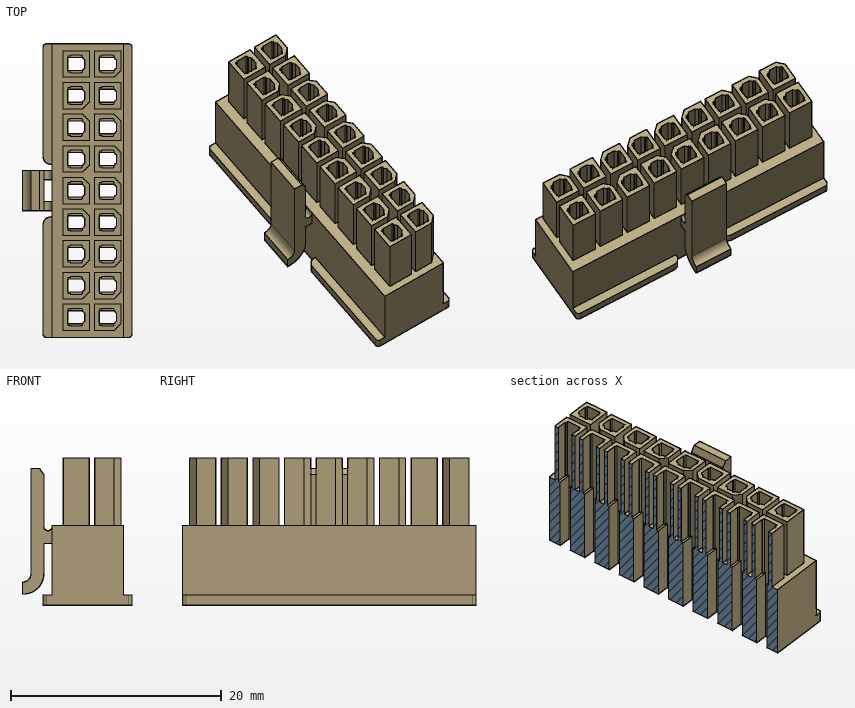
import cadquery as cq
import math


pitch = 3.0
column_count = 2
row_count = 9

body_left = -3.8
body_right = 3.0
body_length = 27.85
body_top = 7.6

rail_left = -4.65
rail_right = 3.8
rail_height = 1.0
rail_corner_radius = 0.33
rail_gap = 4.95
rail_gap_radius = 0.75

tower_width = 2.5
tower_top = 14.0
key_chamfer = 0.65

cavity_width = 1.6
cavity_depth_y = 1.7
slot_depth_y = 1.2
cavity_corner_x = 0.58
cavity_corner_chamfer = 0.23
rear_step_x = -0.54
rear_step = 0.08
small_chamfer = 0.1
cavity_floor = body_top

latch_left = -5.8
latch_right = -4.55
latch_top = 13.0
latch_width = 3.85
latch_tip_run = 0.42
latch_tip_drop = 0.6
hook_end = -6.6
hook_center_z = 3.02
hook_outer_radius = 1.95
bridge_bottom = 5.87
bridge_groove_bottom = 7.1
bridge_window = 2.05

tower_keys = [
    ("square", "front"),
    ("front", "square"),
    ("back", "back"),
    ("front", "back"),
    ("back", "back"),
    ("back", "back"),
    ("front", "front"),
    ("front", "front"),
    ("square", "front"),
]


def box(x_min, x_max, y_min, y_max, z_min, z_max):
    """Box given by its limits along each axis."""
    block = cq.Workplane("XY").box(x_max - x_min, y_max - y_min, z_max - z_min, centered=False)
    return block.translate((x_min, y_min, z_min))


def make_body():
    half_length = body_length / 2
    body = box(body_left, body_right, -half_length, half_length, 0, body_top)
    right_rail = box(body_right, rail_right, -half_length, half_length, 0, rail_height)
    body = body.union(right_rail.edges("|Z and >X").fillet(rail_corner_radius))

    left_rail = box(rail_left, body_left, rail_gap / 2, half_length, 0, rail_height)
    left_rail = left_rail.edges("|Z and <X and >Y").fillet(rail_corner_radius)
    left_rail = left_rail.edges("|Z and <X and <Y").fillet(rail_gap_radius)
    return body.union(left_rail).union(left_rail.mirror("XZ"))


def make_tower(key):
    half_width = tower_width / 2
    tower = box(-half_width, half_width, -half_width, half_width, body_top, tower_top)
    if key == "front":
        tower = tower.edges("|Z and >X and <Y").chamfer(key_chamfer)
    elif key == "back":
        tower = tower.edges("|Z and >X and >Y").chamfer(key_chamfer)
    return tower


def mirrored_outline(upper_points):
    """Closed outline symmetric about the X axis, given its points at positive Y."""
    lower_points = [(x, -y) for x, y in reversed(upper_points)]
    return cq.Workplane("XY").polyline(upper_points + lower_points).close()


def make_cavity():
    """Wide pocket through the tower above a narrower slot through the body."""
    half_width = cavity_width / 2
    half_depth = cavity_depth_y / 2
    half_slot = slot_depth_y / 2
    nose = [
        (cavity_corner_x, half_slot),
        (half_width, half_slot - cavity_corner_chamfer),
    ]
    slot = mirrored_outline([(-half_width, half_slot)] + nose).extrude(tower_top)
    pocket = mirrored_outline([
        (-half_width, half_depth - rear_step),
        (rear_step_x, half_depth - rear_step),
        (rear_step_x, half_depth),
        (cavity_corner_x - small_chamfer, half_depth),
        (cavity_corner_x, half_depth - small_chamfer),
    ] + nose).extrude(tower_top - cavity_floor)
    return slot.union(pocket.translate((0, 0, cavity_floor)))


def make_latch():
    """Arm with a hooked foot, joined to the body by two short bridges."""
    outer_center_x = latch_right - hook_outer_radius
    hook_bottom = hook_center_z - hook_outer_radius
    inner_radius = latch_left - hook_end
    diagonal = math.sqrt(0.5)
    arm = (
        cq.Workplane("XZ")
        .moveTo(latch_left, latch_top)
        .lineTo(latch_right - latch_tip_run, latch_top)
        .lineTo(latch_right, latch_top - latch_tip_drop)
        .lineTo(latch_right, hook_center_z)
        .threePointArc(
            (outer_center_x + hook_outer_radius * diagonal, hook_center_z - hook_outer_radius * diagonal),
            (outer_center_x, hook_bottom),
        )
        .lineTo(hook_end, hook_bottom)
        .lineTo(hook_end, hook_center_z - inner_radius)
        .threePointArc(
            (hook_end + inner_radius * diagonal, hook_center_z - inner_radius * diagonal),
            (latch_left, hook_center_z),
        )
        .close()
        .extrude(latch_width / 2, both=True)
    )

    groove_radius = (body_left - latch_right) / 2
    groove_edge = bridge_groove_bottom + groove_radius
    bridge = (
        cq.Workplane("XZ")
        .moveTo(latch_right, bridge_bottom)
        .lineTo(body_left, bridge_bottom)
        .lineTo(body_left, groove_edge)
        .threePointArc(
            (latch_right + groove_radius, bridge_groove_bottom),
            (latch_right, groove_edge),
        )
        .close()
        .extrude(latch_width / 2, both=True)
    )
    window = box(latch_right, body_left, -bridge_window / 2, bridge_window / 2, 0, body_top)
    return arm.union(bridge.cut(window))


def make_housing():
    housing = make_body().union(make_latch())
    cavity = make_cavity()
    cavities = []
    for row in range(row_count):
        for column in range(column_count):
            x = (column - (column_count - 1) / 2) * pitch
            y = ((row_count - 1) / 2 - row) * pitch
            housing = housing.union(make_tower(tower_keys[row][column]).translate((x, y, 0)))
            cavities.append(cavity.translate((x, y, 0)).val())
    return housing.cut(cq.Compound.makeCompound(cavities))


result = make_housing()